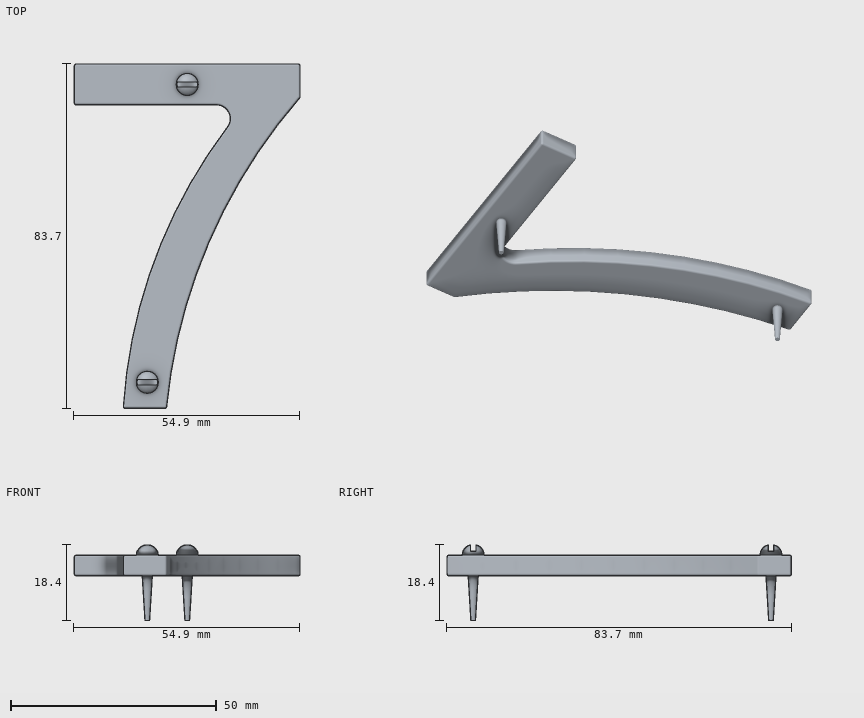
import cadquery as cq

width = 54.9
height = 83.7
plate_thickness = 5.0
bar_height = 10.0
right_end_height = 8.1
leg_left = 11.9
leg_right = 22.4
leg_mid_y = 39.9
leg_inner_mid_x = 21.0
leg_outer_mid_x = 32.55
inner_corner_x = 41.5
inner_corner_radius = 3.35
edge_radius = 0.5

head_radius = 2.7
head_height = 2.6
slot_width = 1.25
slot_depth = 1.6
shank_diameter = 2.5
tip_diameter = 1.2
shank_projection = 10.9
screw_positions = [
    (width / 2, height - bar_height / 2),
    (17.75, 6.4),
]


def make_plate():
    bar_bottom = height - bar_height
    plate = (
        cq.Workplane("XY")
        .moveTo(0, bar_bottom)
        .lineTo(inner_corner_x, bar_bottom)
        .threePointArc((leg_inner_mid_x, leg_mid_y), (leg_left, 0))
        .lineTo(leg_right, 0)
        .threePointArc((leg_outer_mid_x, leg_mid_y), (width, height - right_end_height))
        .lineTo(width, height)
        .lineTo(0, height)
        .close()
        .extrude(plate_thickness)
    )
    inner_corner = cq.selectors.NearestToPointSelector(
        (inner_corner_x, bar_bottom, plate_thickness / 2)
    )
    plate = plate.edges("|Z").edges(inner_corner).fillet(inner_corner_radius)
    ends = plate.faces("<X or >X or <Y").edges("|Z")
    plate = ends.fillet(edge_radius)
    plate = plate.faces("<Z or >Z").edges().fillet(edge_radius)
    return (
        plate.faces(">Z").workplane(origin=(0, 0, plate_thickness))
        .pushPoints(screw_positions)
        .hole(shank_diameter)
    )


def make_screw(x, y):
    shank_radius = shank_diameter / 2
    tip_radius = tip_diameter / 2
    profile = (
        cq.Workplane("XZ")
        .moveTo(0, -shank_projection)
        .lineTo(tip_radius, -shank_projection)
        .lineTo(shank_radius, 0)
        .lineTo(shank_radius, plate_thickness)
        .lineTo(head_radius, plate_thickness)
        .ellipseArc(head_radius, head_height, 0, 90, startAtCurrent=True)
        .close()
    )
    screw = profile.revolve(360, (0, 0, 0), (0, 1, 0))
    head_top = plate_thickness + head_height
    slot = (
        cq.Workplane("XY", origin=(0, 0, head_top - slot_depth))
        .rect(2 * head_radius, slot_width)
        .extrude(slot_depth)
    )
    return screw.cut(slot).translate((x, y, 0))


plate = make_plate()
screws = [make_screw(x, y).val() for x, y in screw_positions]

result = cq.Compound.makeCompound([plate.val(), *screws])